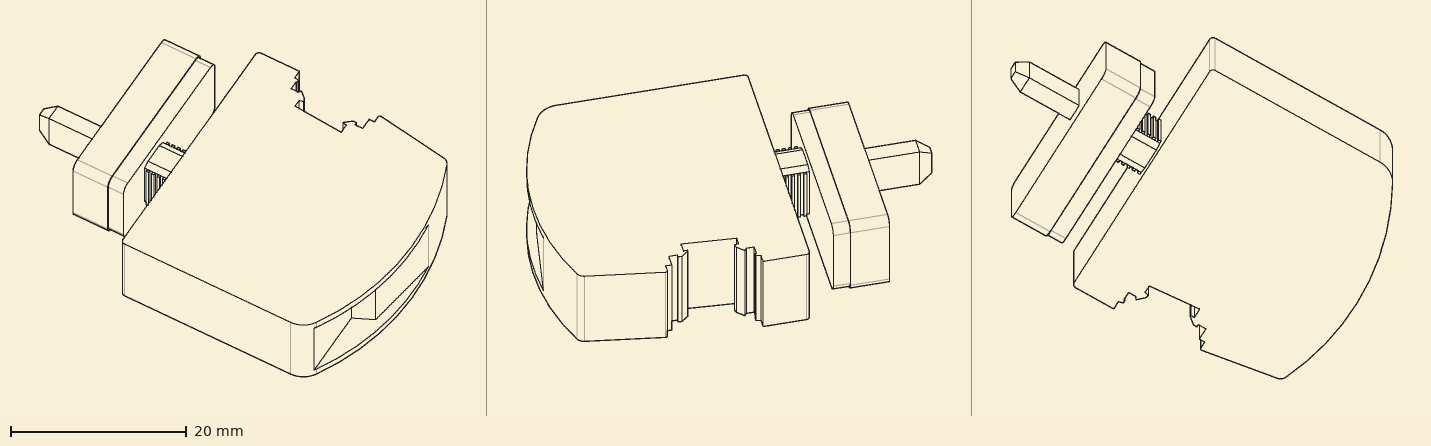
import cadquery as cq
import math


overall_length = 47.25
housing_depth = 31.0
thickness = 10.1
housing_left = 18.3
bow_radius = 30.0
bow_center_y = 16.55
bow_center_x = overall_length - bow_radius
bow_top_y = 28.65
left_corner_radius = 0.45
lower_corner_radius = 3.0
upper_corner_radius = 1.0
shoulder_corner_radius = 0.25

notch_profile = [
    (23.8, housing_depth),
    (23.8, 29.95),
    (24.4, 29.8),
    (24.4, 29.5),
    (24.25, 29.5),
    (24.25, 28.4),
    (25.15, 28.4),
    (25.43, 28.75),
    (26.25, 28.0),
    (26.35, 27.55),
    (25.85, 27.4),
    (25.85, 26.5),
    (32.25, 26.0),
    (32.25, 27.17),
    (31.75, 27.17),
    (31.75, 27.3),
    (32.6, 28.03),
    (33.1, 28.03),
    (33.1, 27.7),
    (34.07, 27.7),
    (34.07, 29.15),
    (34.8, 29.15),
    (34.8, 30.25),
]

recess_wall = 1.0
recess_start_x = 43.05
recess_ramp_start_y = 9.7
recess_ramp_end = (45.55, 10.85)
recess_runout_y = 20.3

stem_width = 4.15
stem_height = 7.3
stem_center_y = 13.55
stem_flat_width = 2.55
stem_bevel_height = 0.4
tooth_count = 5
tooth_pitch = 0.7
tooth_length = 0.35
tooth_height = 0.3
first_tooth_gap = 0.4

flange_left = 8.18
flange_step_x = 12.75
flange_right = 14.75
flange_width = 21.05
flange_center_y = 17.05
flange_corner_radius = 1.0
flange_step = 0.15

blade_width = 2.05
blade_height = 5.0
blade_center_y = 13.5
blade_taper_length = 1.55
blade_tip_width = 1.0
blade_tip_height = 3.02


def bow_point(y):
    """Point of the bowed face at a given Y."""
    return (bow_center_x + math.sqrt(bow_radius**2 - (y - bow_center_y) ** 2), y)


def bar(x_start, x_end, center_y, width, height):
    """Rectangular bar along X, centred on the mid-plane."""
    return (
        cq.Workplane("YZ", origin=(x_start, center_y, 0))
        .rect(width, height)
        .extrude(x_end - x_start)
    )


def round_upright_edge(body, point, radius):
    """Fillet the edge parallel to Z that passes through an outline point."""
    selector = cq.selectors.NearestToPointSelector((point[0], point[1], 0))
    return body.edges("|Z").edges(selector).fillet(radius)


def make_housing():
    lower_left = (housing_left, 0)
    upper_left = (housing_left, housing_depth)
    bow_bottom = bow_point(0)
    bow_top = bow_point(bow_top_y)
    body = (
        cq.Workplane("XY", origin=(0, 0, -thickness / 2))
        .polyline([lower_left, upper_left] + notch_profile + [bow_top])
        .threePointArc((overall_length, bow_center_y), bow_bottom)
        .close()
        .extrude(thickness)
    )
    rounded_corners = [
        (lower_left, left_corner_radius),
        (upper_left, left_corner_radius),
        (bow_bottom, lower_corner_radius),
        (bow_top, upper_corner_radius),
        (notch_profile[-1], shoulder_corner_radius),
    ]
    for point, radius in rounded_corners:
        body = round_upright_edge(body, point, radius)
    return body.cut(make_recess())


def make_recess():
    """Finger scoop between the side walls: an end wall, a ramp and a flat that runs out at the bow."""
    recess_height = thickness - 2 * recess_wall
    return (
        cq.Workplane("XY", origin=(0, 0, -recess_height / 2))
        .moveTo(recess_start_x, 0)
        .lineTo(recess_start_x, recess_ramp_start_y)
        .lineTo(*recess_ramp_end)
        .lineTo(*bow_point(recess_runout_y))
        .lineTo(overall_length, recess_runout_y)
        .lineTo(overall_length, 0)
        .close()
        .extrude(recess_height)
    )


def make_stem():
    half_width = stem_width / 2
    half_flat = stem_flat_width / 2
    half_height = stem_height / 2
    side_half_height = half_height - stem_bevel_height
    stem = (
        cq.Workplane("YZ", origin=(flange_right, stem_center_y, 0))
        .polyline([
            (half_width, -side_half_height),
            (half_width, side_half_height),
            (half_flat, half_height),
            (-half_flat, half_height),
            (-half_width, side_half_height),
            (-half_width, -side_half_height),
            (-half_flat, -half_height),
            (half_flat, -half_height),
        ])
        .close()
        .extrude(housing_left - flange_right)
    )
    tooth_span = stem_width + 2 * tooth_height
    for index in range(tooth_count):
        tooth_start = flange_right + first_tooth_gap + index * tooth_pitch
        tooth_end = tooth_start + tooth_length
        stem = stem.union(
            bar(tooth_start, tooth_end, stem_center_y, tooth_span, 2 * side_half_height)
        )
    return stem


def make_flange():
    front_plate = bar(flange_left, flange_step_x, flange_center_y, flange_width, thickness)
    rear_plate = bar(
        flange_step_x,
        flange_right,
        flange_center_y,
        flange_width - 2 * flange_step,
        thickness - 2 * flange_step,
    )
    front_plate = front_plate.edges("|X").fillet(flange_corner_radius)
    rear_plate = rear_plate.edges("|X").fillet(flange_corner_radius)
    return front_plate.union(rear_plate)


def make_blade():
    shank = bar(blade_taper_length, flange_left, blade_center_y, blade_width, blade_height)
    tip = (
        cq.Workplane("YZ", origin=(0, blade_center_y, 0))
        .rect(blade_tip_width, blade_tip_height)
        .workplane(offset=blade_taper_length)
        .rect(blade_width, blade_height)
        .loft(ruled=True)
    )
    return shank.union(tip)


result = make_housing().union(make_stem()).union(make_flange()).union(make_blade())